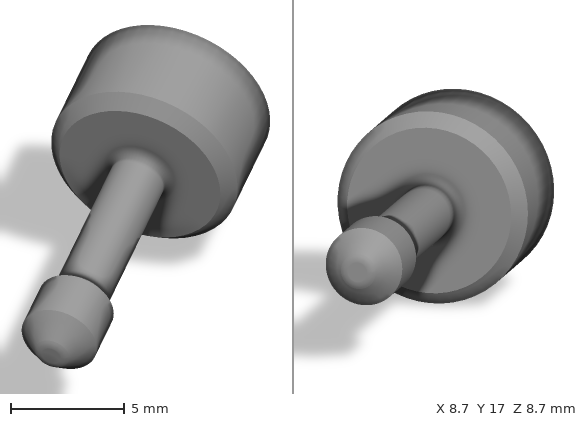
import cadquery as cq
import math


total_length = 17.0
head_radius = 4.35
head_length = 5.0
head_chamfer = 0.6
shank_radius = 1.25
shank_root_fillet = 0.4
bulb_radius = 1.75
bulb_straight_length = 2.3
tip_chamfer = 1.1
cone_blend_radius = 0.5

back_y = total_length / 2
head_face_y = back_y - head_length
tip_y = -total_length / 2
bulb_front_y = tip_y + tip_chamfer
bulb_rear_y = bulb_front_y + bulb_straight_length

bulb_neck_y = bulb_rear_y + bulb_radius - shank_radius
tip_corner_radius = bulb_radius - tip_chamfer

cone_angle = math.radians(45)
blend_tangent = cone_blend_radius * math.tan(cone_angle / 2)
blend_on_cone = blend_tangent * math.cos(cone_angle)
mid_along = cone_blend_radius * math.sin(cone_angle / 2)
mid_away = cone_blend_radius * (1 - math.cos(cone_angle / 2))


def root_fillet_middle():
    """Middle of the quarter-round between the head face and the shank."""
    quarter_round_middle = math.radians(45)
    offset = shank_root_fillet * (1 - math.cos(quarter_round_middle))
    return (shank_radius + offset, head_face_y - offset)


def make_profile():
    """Half section as (radius, Y), closed along the axis of revolution."""
    neck_start_y = bulb_neck_y + blend_tangent
    tip_flat_radius = tip_corner_radius - blend_tangent
    return (
        cq.Workplane("XY")
        .moveTo(0, back_y)
        .lineTo(head_radius, back_y)
        .lineTo(head_radius, head_face_y + head_chamfer)
        .lineTo(head_radius - head_chamfer, head_face_y)
        .lineTo(shank_radius + shank_root_fillet, head_face_y)
        .threePointArc(root_fillet_middle(), (shank_radius, head_face_y - shank_root_fillet))
        .lineTo(shank_radius, neck_start_y)
        .threePointArc(
            (shank_radius + mid_away, neck_start_y - mid_along),
            (shank_radius + blend_on_cone, bulb_neck_y - blend_on_cone),
        )
        .lineTo(bulb_radius, bulb_rear_y)
        .lineTo(bulb_radius, bulb_front_y)
        .lineTo(tip_corner_radius + blend_on_cone, tip_y + blend_on_cone)
        .threePointArc(
            (tip_flat_radius + mid_along, tip_y + mid_away),
            (tip_flat_radius, tip_y),
        )
        .lineTo(0, tip_y)
        .close()
    )


axis_start = (0, 0, 0)
axis_end = (0, 1, 0)
result = make_profile().revolve(360, axis_start, axis_end)